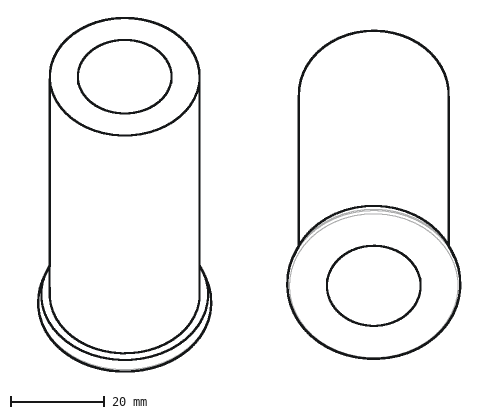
import cadquery as cq

total_height = 78.5
sleeve_diameter = 32.0
bore_diameter = 20.0

flange_diameter = 37.0
flange_top_diameter = 35.6
flange_height = 3.5
edge_radius = 0.5
taper_start = 1.0

bore_radius = bore_diameter / 2
sleeve_radius = sleeve_diameter / 2
flange_radius = flange_diameter / 2
flange_top_radius = flange_top_diameter / 2

half_section = (
    cq.Workplane("XZ")
    .moveTo(bore_radius, 0)
    .lineTo(flange_radius - edge_radius, 0)
    .radiusArc((flange_radius, edge_radius), -edge_radius)
    .lineTo(flange_radius, taper_start)
    .lineTo(flange_top_radius, flange_height)
    .lineTo(sleeve_radius, flange_height)
    .lineTo(sleeve_radius, total_height)
    .lineTo(bore_radius, total_height)
    .close()
)

result = half_section.revolve(360, (0, 0, 0), (0, 1, 0))